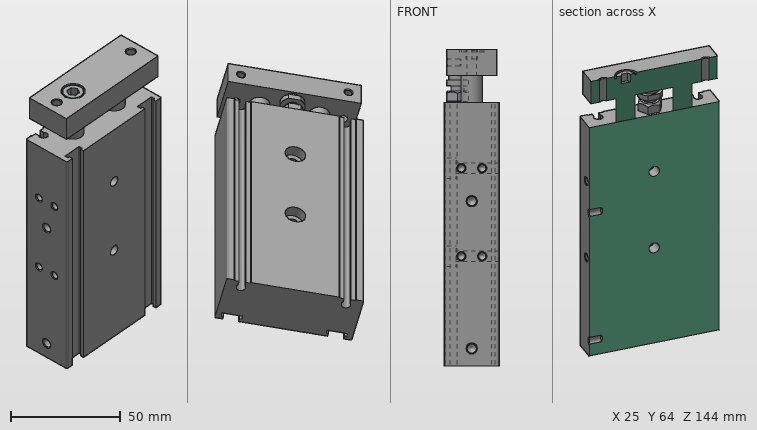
import cadquery as cq
import math

HOUSING_X = 25.0
HOUSING_Y = 64.0
HOUSING_Z = 120.0
HOUSING_FILLET = 0.6
SIDE_X = HOUSING_X / 2
END_Y = HOUSING_Y / 2

GROOVE_Y = 24.5

STEP_WIDTH = 8.0
STEP_FLOOR_WIDTH = 7.2
STEP_DEPTH = 0.5
NECK_WIDTH = 3.2
CHANNEL_DIAMETER = 4.2
CHANNEL_RADIUS = CHANNEL_DIAMETER / 2
CHANNEL_DEPTH = 3.9
CHANNEL_FLAT_WIDTH = 1.0

T_SLOT_MOUTH = 7.5
T_SLOT_WIDTH = 9.5
T_SLOT_LIP = 1.9
T_SLOT_DEPTH = 3.6

CROSS_HOLE_DIAMETER = 4.9
CROSS_BORE_DIAMETER = 9.5
CROSS_BORE_DEPTH = 5.3
MOUNT_HEIGHTS = (50.0, 90.0)

SMALL_THREAD_MOUTH = 4.2
SMALL_THREAD_DRILL = 3.3
SMALL_THREAD_X = 4.8
PORT_MOUTH = 5.0
PORT_DRILL = 4.2
PORT_HEIGHTS = (8.0, 75.0)
BLIND_HOLE_DEPTH = 6.0
DRILL_POINT_ANGLE = 118

TOP_Z = 144.0
PLATE_X = 22.8
PLATE_Y = 62.0
PLATE_Z = 12.0
PLATE_BOTTOM = TOP_Z - PLATE_Z
PLATE_HOLE_Y = 25.0

ROD_DIAMETER = 10.0
ROD_Y = 14.0
RECESS_DIAMETER = 11.0
RECESS_DEPTH = 1.2
SCREW_HEAD_DIAMETER = 9.5
SCREW_HEAD_DROP = 0.3
SOCKET_FLATS = 5.0
SOCKET_DEPTH = 4.0

BOLT_X = -6.5
BOLT_FLATS = 10.0
BOLT_CORNERS = BOLT_FLATS / math.cos(math.radians(30))
UPPER_NECK_DIAMETER = 8.0
LOWER_NECK_DIAMETER = 6.0
COLLAR_TOP = 130.2
COLLAR_BOTTOM = 127.5
NUT_TOP = 125.1
NUT_BOTTOM = 120.4
NUT_CHAMFER_Z = 1.0
NUT_TOP_DIAMETER = 8.6


def revolved(points):
    """Solid of revolution about Z from (radius, height) points."""
    return cq.Workplane("XZ").polyline(points).close().revolve(360, (0, 0), (0, 1))


def blind_hole(mouth, drill, depth):
    """Cutter along -Z from the origin: chamfered mouth, drilled hole, conical point."""
    mouth_r = mouth / 2
    drill_r = drill / 2
    point = drill_r / math.tan(math.radians(DRILL_POINT_ANGLE / 2))
    return revolved([
        (0, 0),
        (mouth_r, 0),
        (drill_r, drill_r - mouth_r),
        (drill_r, -depth),
        (0, -depth - point),
    ])


def sensor_groove(y):
    """Cutter for one round-bottomed groove along the -X side."""
    flat_depth = math.sqrt(CHANNEL_RADIUS**2 - (CHANNEL_FLAT_WIDTH / 2) ** 2)
    floor_x = -SIDE_X + CHANNEL_DEPTH + flat_depth
    step_x = -SIDE_X + STEP_DEPTH
    step = (
        cq.Workplane("XY")
        .moveTo(-SIDE_X, y - STEP_WIDTH / 2)
        .lineTo(step_x, y - STEP_FLOOR_WIDTH / 2)
        .lineTo(step_x, y + STEP_FLOOR_WIDTH / 2)
        .lineTo(-SIDE_X, y + STEP_WIDTH / 2)
        .close()
        .extrude(HOUSING_Z)
    )
    neck = (
        cq.Workplane("XY")
        .center(-SIDE_X + CHANNEL_DEPTH / 2, y)
        .rect(CHANNEL_DEPTH, NECK_WIDTH)
        .extrude(HOUSING_Z)
    )
    half_flat = CHANNEL_FLAT_WIDTH / 2
    channel = (
        cq.Workplane("XY")
        .moveTo(floor_x, y - half_flat)
        .threePointArc((-SIDE_X + CHANNEL_DEPTH - CHANNEL_RADIUS, y), (floor_x, y + half_flat))
        .close()
        .extrude(HOUSING_Z)
    )
    return step.union(neck).union(channel)


def t_slot(y):
    """Cutter for one T-slot along the +X side."""
    mouth = (
        cq.Workplane("XY")
        .center(SIDE_X - T_SLOT_DEPTH / 2, y)
        .rect(T_SLOT_DEPTH, T_SLOT_MOUTH)
        .extrude(HOUSING_Z)
    )
    undercut = (
        cq.Workplane("XY")
        .center(SIDE_X - (T_SLOT_LIP + T_SLOT_DEPTH) / 2, y)
        .rect(T_SLOT_DEPTH - T_SLOT_LIP, T_SLOT_WIDTH)
        .extrude(HOUSING_Z)
    )
    return mouth.union(undercut)


def cross_hole(z):
    """Cutter for one counterbored through hole along X."""
    hole = cq.Workplane("YZ", origin=(-SIDE_X, 0, z)).circle(CROSS_HOLE_DIAMETER / 2).extrude(HOUSING_X)
    bore = cq.Workplane("YZ", origin=(-SIDE_X, 0, z)).circle(CROSS_BORE_DIAMETER / 2).extrude(CROSS_BORE_DEPTH)
    return hole.union(bore)


def end_hole(mouth, drill, x, z):
    """Cutter for one blind hole in the -Y end."""
    cutter = blind_hole(mouth, drill, BLIND_HOLE_DEPTH)
    return cutter.rotate((0, 0, 0), (1, 0, 0), 90).translate((x, -END_Y, z))


def make_housing():
    body = (
        cq.Workplane("XY")
        .rect(HOUSING_X, HOUSING_Y)
        .extrude(HOUSING_Z)
        .edges("|Z")
        .fillet(HOUSING_FILLET)
    )
    for y in (-GROOVE_Y, GROOVE_Y):
        body = body.cut(sensor_groove(y)).cut(t_slot(y))
    for z in MOUNT_HEIGHTS:
        body = body.cut(cross_hole(z))
        for x in (-SMALL_THREAD_X, SMALL_THREAD_X):
            body = body.cut(end_hole(SMALL_THREAD_MOUTH, SMALL_THREAD_DRILL, x, z))
    for z in PORT_HEIGHTS:
        body = body.cut(end_hole(PORT_MOUTH, PORT_DRILL, 0, z))
    return body


def make_plate():
    """End plate with threaded holes in its top and its -X side."""
    plate = cq.Workplane("XY").box(PLATE_X, PLATE_Y, PLATE_Z).translate((0, 0, TOP_Z - PLATE_Z / 2))
    for y in (-PLATE_HOLE_Y, PLATE_HOLE_Y):
        top_hole = blind_hole(PORT_MOUTH, PORT_DRILL, PLATE_Z).translate((0, y, TOP_Z))
        side_hole = (
            blind_hole(SMALL_THREAD_MOUTH, SMALL_THREAD_DRILL, BLIND_HOLE_DEPTH)
            .rotate((0, 0, 0), (0, 1, 0), -90)
            .translate((-PLATE_X / 2, y, TOP_Z - PLATE_Z / 2))
        )
        plate = plate.cut(top_hole).cut(side_hole)
    return plate


def screw_recess():
    """Cutter for the round recess, leaving a screw head with a hexagon socket."""
    head_top = TOP_Z - SCREW_HEAD_DROP
    recess = (
        cq.Workplane("XY", origin=(0, -ROD_Y, TOP_Z))
        .circle(RECESS_DIAMETER / 2)
        .extrude(-RECESS_DEPTH)
    )
    head = (
        cq.Workplane("XY", origin=(0, -ROD_Y, head_top))
        .circle(SCREW_HEAD_DIAMETER / 2)
        .extrude(SCREW_HEAD_DROP - RECESS_DEPTH)
    )
    socket = (
        cq.Workplane("XY", origin=(0, -ROD_Y, head_top))
        .transformed(rotate=(0, 0, 90))
        .polygon(6, SOCKET_FLATS / math.cos(math.radians(30)))
        .extrude(-SOCKET_DEPTH)
    )
    return recess.cut(head).union(socket)


def bolt_disc(diameter, bottom, top):
    """Round section of the adjusting bolt between two heights."""
    return cq.Workplane("XY", origin=(BOLT_X, 0, bottom)).circle(diameter / 2).extrude(top - bottom)


def make_adjusting_bolt():
    """Necked bolt with a flatted collar and a chamfered hexagon at its foot."""
    collar = bolt_disc(BOLT_CORNERS, COLLAR_BOTTOM, COLLAR_TOP)
    flats = cq.Workplane("XY", origin=(BOLT_X, 0, COLLAR_BOTTOM)).rect(BOLT_FLATS, BOLT_CORNERS)
    collar = collar.intersect(flats.extrude(COLLAR_TOP - COLLAR_BOTTOM))

    hexagon = (
        cq.Workplane("XY", origin=(BOLT_X, 0, NUT_BOTTOM))
        .transformed(rotate=(0, 0, 90))
        .polygon(6, BOLT_CORNERS)
        .extrude(NUT_TOP - NUT_BOTTOM)
    )
    chamfered = revolved([
        (0, NUT_BOTTOM),
        (BOLT_CORNERS / 2, NUT_BOTTOM),
        (BOLT_CORNERS / 2, NUT_TOP - NUT_CHAMFER_Z),
        (NUT_TOP_DIAMETER / 2, NUT_TOP),
        (0, NUT_TOP),
    ]).translate((BOLT_X, 0, 0))
    nut = hexagon.intersect(chamfered)

    upper_neck = bolt_disc(UPPER_NECK_DIAMETER, COLLAR_TOP, PLATE_BOTTOM)
    lower_neck = bolt_disc(LOWER_NECK_DIAMETER, NUT_TOP, COLLAR_BOTTOM)
    return upper_neck.union(collar).union(lower_neck).union(nut)


def make_moving_unit():
    """End plate, two guide rods and adjusting bolt as one solid."""
    unit = make_plate()
    for y in (-ROD_Y, ROD_Y):
        rod = cq.Workplane("XY", origin=(0, y, HOUSING_Z)).circle(ROD_DIAMETER / 2)
        unit = unit.union(rod.extrude(TOP_Z - HOUSING_Z))
    return unit.union(make_adjusting_bolt()).cut(screw_recess())


housing = make_housing()
moving_unit = make_moving_unit()

result = cq.Compound.makeCompound([housing.val(), moving_unit.val()])